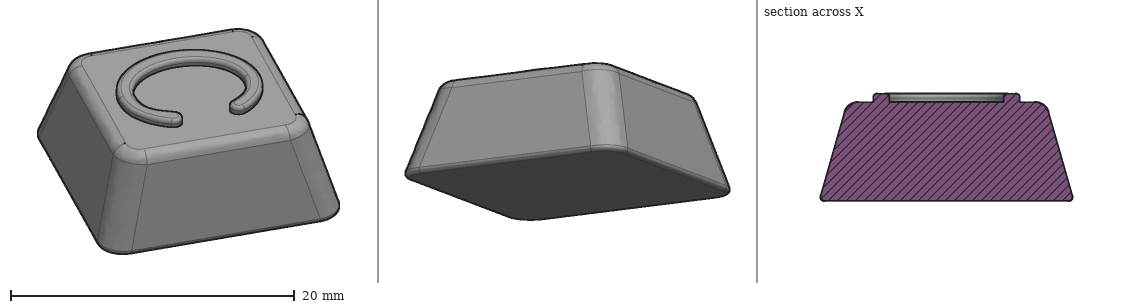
import cadquery as cq
import math

BASE_SIDE = 18.0
TOP_SIDE = 14.0
BODY_HEIGHT = 7.0
CORNER_RADIUS = 2.0
TOP_EDGE_RADIUS = 1.0
BOTTOM_EDGE_RADIUS = 0.3

RIB_HEIGHT = 0.6
RIB_EDGE_RADIUS = 0.3
RIB_CENTER_X = 0.24
RIB_OUTER_RADIUS_X = 4.67
RIB_OUTER_RADIUS_Y = 5.20
RIB_INNER_RADIUS_X = 3.28
RIB_INNER_RADIUS_Y = 4.02

UPPER_OUTER_MIDDLE = (2.77, 4.34)
UPPER_INNER_MIDDLE = (2.00, 3.45)
UPPER_TIP_CENTER = (3.44, 2.63)
UPPER_TIP_RADIUS = 0.63
UPPER_TIP_HEADING = -63.0
LOWER_OUTER_MIDDLE = (2.90, -4.25)
LOWER_INNER_MIDDLE = (2.10, -3.45)
LOWER_TIP_CENTER = (3.63, -2.27)
LOWER_TIP_RADIUS = 0.67
LOWER_TIP_HEADING = 63.0


def make_body():
    """Square frustum with rounded corners and rounded top and bottom edges."""
    body = (
        cq.Workplane("XY")
        .rect(BASE_SIDE, BASE_SIDE)
        .workplane(offset=BODY_HEIGHT)
        .rect(TOP_SIDE, TOP_SIDE)
        .loft(ruled=True)
    )
    body = body.edges("not(#Z)").fillet(CORNER_RADIUS)
    body = body.faces(">Z").edges().fillet(TOP_EDGE_RADIUS)
    return body.faces("<Z").edges().fillet(BOTTOM_EDGE_RADIUS)


def half_ellipse(radius_x, radius_y):
    """Left half of an ellipse about the rib centre, starting at its top."""
    return cq.Edge.makeEllipse(
        radius_y,
        radius_x,
        pnt=(RIB_CENTER_X, 0, 0),
        angle1=0,
        angle2=180,
        xdir=(0, 1, 0),
    )


def unit_vector(angle):
    """Unit vector in the XY plane at an angle in degrees from +X."""
    return cq.Vector(math.cos(math.radians(angle)), math.sin(math.radians(angle)))


def open_wall(start_y, middle, end, heading):
    """Wall that leaves the ellipse along +X and curves to a tip with the given heading."""
    points = [cq.Vector(RIB_CENTER_X, start_y), cq.Vector(*middle), end]
    return cq.Edge.makeSpline(points, tangents=[unit_vector(0), unit_vector(heading)])


def open_arm(start_side, outer_middle, inner_middle, tip_center, tip_radius, heading):
    """Outer wall, rounded tip and inner wall of one arm; start_side is 1 (+Y) or -1 (-Y)."""
    center = cq.Vector(*tip_center)
    outward = unit_vector(heading + start_side * 90) * tip_radius
    outer_end = center + outward
    inner_end = center - outward
    tip = center + unit_vector(heading) * tip_radius
    return [
        open_wall(start_side * RIB_OUTER_RADIUS_Y, outer_middle, outer_end, heading),
        cq.Edge.makeThreePointArc(outer_end, tip, inner_end),
        open_wall(start_side * RIB_INNER_RADIUS_Y, inner_middle, inner_end, heading),
    ]


def make_rib():
    """C-shaped rib standing on the top face, with its upper edges rounded."""
    upper_arm = open_arm(
        1, UPPER_OUTER_MIDDLE, UPPER_INNER_MIDDLE, UPPER_TIP_CENTER, UPPER_TIP_RADIUS, UPPER_TIP_HEADING
    )
    lower_arm = open_arm(
        -1, LOWER_OUTER_MIDDLE, LOWER_INNER_MIDDLE, LOWER_TIP_CENTER, LOWER_TIP_RADIUS, LOWER_TIP_HEADING
    )
    outer_half = half_ellipse(RIB_OUTER_RADIUS_X, RIB_OUTER_RADIUS_Y)
    inner_half = half_ellipse(RIB_INNER_RADIUS_X, RIB_INNER_RADIUS_Y)
    outline = cq.Wire.assembleEdges([outer_half, *lower_arm, inner_half, *reversed(upper_arm)])
    rib = cq.Workplane(cq.Solid.extrudeLinear(outline, [], cq.Vector(0, 0, RIB_HEIGHT)))
    rib = rib.faces(">Z").edges().fillet(RIB_EDGE_RADIUS)
    return rib.translate((0, 0, BODY_HEIGHT))


result = make_body().union(make_rib())